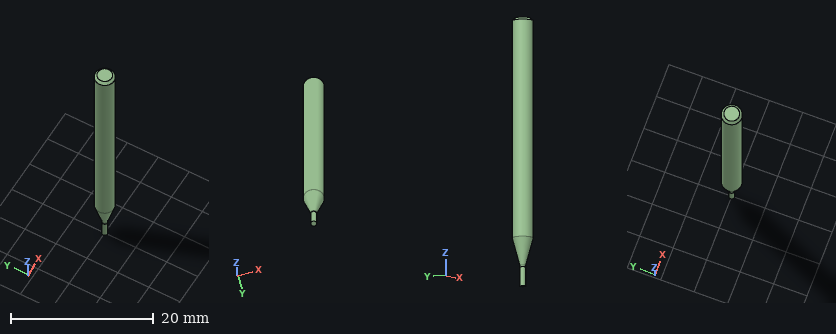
import cadquery as cq

total_length = 38.1
shank_diameter = 3.0
tip_diameter = 0.86
tip_length = 2.7
neck_length = 0.23
cone_top_height = 6.85
end_chamfer = 0.4

shank_radius = shank_diameter / 2
tip_radius = tip_diameter / 2
cone_base_height = tip_length + neck_length


def make_tip():
    """Plain cylindrical cutting end."""
    return cq.Workplane("XY").circle(tip_radius).extrude(tip_length)


def make_shank():
    """Turned shank: short neck, cone, long cylinder and chamfered top end."""
    return (
        cq.Workplane("XZ")
        .moveTo(0, tip_length)
        .lineTo(tip_radius, tip_length)
        .lineTo(tip_radius, cone_base_height)
        .lineTo(shank_radius, cone_top_height)
        .lineTo(shank_radius, total_length - end_chamfer)
        .lineTo(shank_radius - end_chamfer, total_length)
        .lineTo(0, total_length)
        .close()
        .revolve(360, (0, 0, 0), (0, 1, 0))
    )


tip = make_tip()
shank = make_shank()

result = cq.Compound.makeCompound([tip.val(), shank.val()])